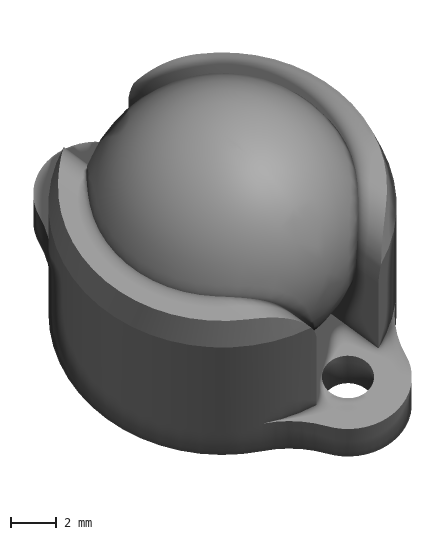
import cadquery as cq
import math

body_radius = 7.62
body_height = 9.55
rim_bevel_height = 1.42
rim_bevel_inset = 0.42

overall_length = 20.32
ear_thickness = 2.08
hole_offset = 7.366
hole_radius = 1.14
ear_radius = overall_length / 2 - hole_offset
ear_blend_radius = 5.08

ball_radius = 6.35
overall_height = 13.52
ball_center_height = overall_height - ball_radius
slot_half_width = 2.032
slot_lip_radius = 2.54


def make_body():
    """Round housing with a conical bevel around its upper rim."""
    bevel_start = body_height - rim_bevel_height
    rim_radius = body_radius - rim_bevel_inset
    return (
        cq.Workplane("XZ")
        .lineTo(body_radius, 0)
        .lineTo(body_radius, bevel_start)
        .lineTo(rim_radius, body_height)
        .lineTo(0, body_height)
        .close()
        .revolve(360, (0, 0, 0), (0, 1, 0))
    )


def make_slot():
    """Cutter along X: straight walls that flare into rounded lips at the top."""
    lip_start = body_height - slot_lip_radius
    mouth_half_width = slot_half_width + slot_lip_radius
    arc_offset = slot_lip_radius * math.sqrt(0.5)
    arc_mid_y = mouth_half_width - arc_offset
    arc_mid_z = lip_start + arc_offset
    return (
        cq.Workplane("YZ")
        .moveTo(-slot_half_width, ear_thickness)
        .lineTo(slot_half_width, ear_thickness)
        .lineTo(slot_half_width, lip_start)
        .threePointArc((arc_mid_y, arc_mid_z), (mouth_half_width, body_height))
        .lineTo(-mouth_half_width, body_height)
        .threePointArc((-arc_mid_y, arc_mid_z), (-slot_half_width, lip_start))
        .close()
        .extrude(body_radius + ear_radius, both=True)
    )


def make_ear(side):
    """Ear on the +X (side=1) or -X (side=-1) end, blended tangentially into the body."""
    body_reach = body_radius + ear_blend_radius
    ear_reach = ear_radius + ear_blend_radius
    blend_x = (body_reach**2 - ear_reach**2 + hole_offset**2) / (2 * hole_offset)
    blend_y = math.sqrt(body_reach**2 - blend_x**2)

    body_tangent_x = blend_x * body_radius / body_reach
    body_tangent_y = blend_y * body_radius / body_reach
    ear_tangent_x = hole_offset + (blend_x - hole_offset) * ear_radius / ear_reach
    ear_tangent_y = blend_y * ear_radius / ear_reach

    chord_x = (body_tangent_x + ear_tangent_x) / 2 - blend_x
    chord_y = (body_tangent_y + ear_tangent_y) / 2 - blend_y
    chord_distance = math.hypot(chord_x, chord_y)
    blend_mid_x = blend_x + chord_x * ear_blend_radius / chord_distance
    blend_mid_y = blend_y + chord_y * ear_blend_radius / chord_distance

    return (
        cq.Workplane("XY")
        .lineTo(side * body_tangent_x, -body_tangent_y)
        .threePointArc((side * blend_mid_x, -blend_mid_y), (side * ear_tangent_x, -ear_tangent_y))
        .threePointArc((side * overall_length / 2, 0), (side * ear_tangent_x, ear_tangent_y))
        .threePointArc((side * blend_mid_x, blend_mid_y), (side * body_tangent_x, body_tangent_y))
        .close()
        .extrude(ear_thickness)
    )


def make_ball():
    """Ball held in the housing, joined to it as one solid."""
    return cq.Workplane("XY").sphere(ball_radius).translate((0, 0, ball_center_height))


def make_mounting_holes():
    """Cutters for the screw holes through both ears."""
    return (
        cq.Workplane("XY")
        .pushPoints([(-hole_offset, 0), (hole_offset, 0)])
        .circle(hole_radius)
        .extrude(ear_thickness)
    )


housing = make_body().cut(make_slot())
for ear_side in (-1, 1):
    housing = housing.union(make_ear(ear_side))
housing = housing.cut(make_mounting_holes())

result = housing.union(make_ball())